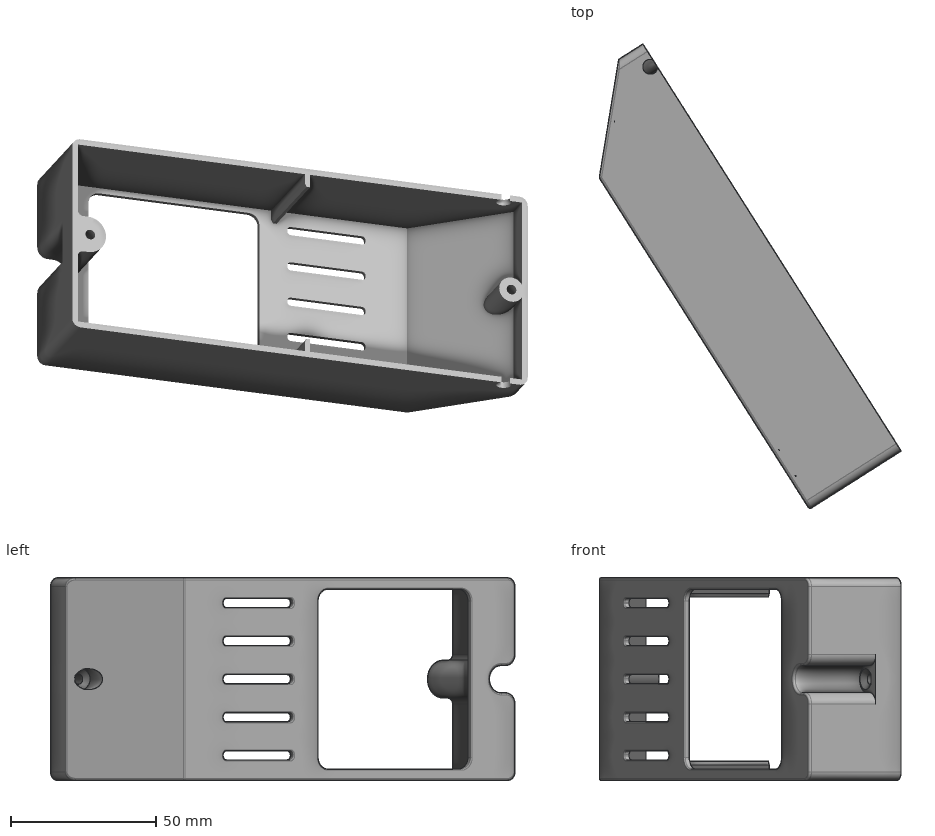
import cadquery as cq
import math

tilt = 57.6
length = 166.1
depth = 37.5
height = 70.0
wall = 2.1

slope_length = 30.9
slope_depth = 27.5

end_radius = 3.0
front_radius = 0.8
opening_rim_radius = 0.4

window_length = 62.3
window_height = 62.0
window_corner = 4.0
window_end_margin = 18.2

slot_count = 5
slot_length = 28.5
slot_width = 3.0
slot_pitch = 13.1
slot_corner = 1.3
slot_end_margin = 90.8

seat_y = depth - 10.4
head_diameter = 7.2
bore_diameter = 3.5
boss_radius = 4.5
boss_x = 6.0
cable_screw_x = length - 6.5

groove_depth = 10.4
groove_radius = 4.6
mouth_radius = 3.8
groove_wall = 2.0

rib_thickness = 2.0
rib_height = 4.6
rib_end_margin = 84.8
rib_chamfer_height = 1.3
rib_chamfer_width = 0.6

notch_radius = 2.5
notch_x = 8.0
notch_inset = 2.1


def outer_body():
    outline = [(0, slope_depth), (slope_length, 0), (length, 0), (length, depth), (0, depth)]
    body = cq.Workplane("XY").polyline(outline).close().extrude(height / 2, both=True)
    return body.edges("|Y").fillet(end_radius)


def round_front_edges(body):
    """Round the rims of the front face and of the slope."""
    slope_direction = cq.Vector(-slope_depth, -slope_length, 0)
    slope_face = body.faces(cq.selectors.ParallelDirSelector(slope_direction))
    rims = body.faces("<Y").edges().add(slope_face.edges("not |Z"))
    return rims.fillet(front_radius)


def cavity():
    """Inside of the cover: the outer outline moved inwards by the wall."""
    slope = math.atan2(slope_depth, slope_length)
    front_corner_x = slope_length + wall * math.tan(slope / 2)
    end_corner_y = slope_depth + wall * math.tan((math.pi / 2 - slope) / 2)
    outline = [
        (wall, end_corner_y),
        (front_corner_x, wall),
        (length - wall, wall),
        (length - wall, depth),
        (wall, depth),
    ]
    half_height = height / 2 - wall
    return cq.Workplane("XY").polyline(outline).close().extrude(half_height, both=True)


def front_cut(centre_x, size_x, size_z, corner):
    """Rounded rectangular opening through the front wall."""
    block = cq.Workplane("XY").box(size_x, 2 * wall, size_z)
    return block.edges("|Y").fillet(corner).translate((centre_x, wall / 2, 0))


def groove_prism(bottom_depth, radius, flare, base_depth, start_y, end_y):
    """U-shaped prism along Y, reaching in from the cable end and flared at its base."""
    base_x = length - base_depth
    flare_x = base_x - flare
    round_x = length - bottom_depth + radius
    section = (
        cq.Workplane("XZ", origin=(0, start_y, 0))
        .moveTo(base_x, radius + flare)
        .radiusArc((flare_x, radius), flare)
        .lineTo(round_x, radius)
        .threePointArc((round_x - radius, 0), (round_x, -radius))
        .lineTo(flare_x, -radius)
        .radiusArc((base_x, -radius - flare), flare)
        .close()
    )
    return section.extrude(start_y - end_y)


def cylinder(x, start_y, end_y, diameter):
    """Round bar along Y."""
    sketch = cq.Workplane("XZ", origin=(x, start_y, 0)).circle(diameter / 2)
    return sketch.extrude(start_y - end_y)


def screw_hole(x):
    """Countersink at the seat depth, with a bore through to the back."""
    sink_depth = (head_diameter - bore_diameter) / 2
    sink = (
        cq.Workplane("XZ", origin=(x, seat_y, 0))
        .circle(head_diameter / 2)
        .workplane(offset=-sink_depth)
        .circle(bore_diameter / 2)
        .loft()
    )
    return sink.union(cylinder(x, seat_y, depth, bore_diameter))


def ribs():
    rib_x = length - rib_end_margin - rib_thickness / 2
    rib_z = height / 2 - wall - rib_height / 2
    rib = cq.Workplane("XY").box(rib_thickness, depth - wall, rib_height)
    rib = rib.faces(">Z").edges(">X").chamfer(rib_chamfer_height, rib_chamfer_width)
    lower_rib = rib.translate((rib_x, (depth + wall) / 2, -rib_z))
    return lower_rib.union(lower_rib.mirror("XY"))


groove = groove_prism(groove_depth, groove_radius, mouth_radius, 0, 0, seat_y)
outer = outer_body()
cover = round_front_edges(outer.cut(groove)).cut(cavity())

boss = cylinder(boss_x, wall, depth, 2 * boss_radius).intersect(outer)
trough = groove_prism(
    groove_depth + groove_wall, groove_radius + groove_wall, mouth_radius - groove_wall, wall, wall, depth
)
cover = cover.union(ribs()).union(boss).union(trough.cut(groove))

window_x = length - window_end_margin - window_length / 2
cover = cover.cut(front_cut(window_x, window_length, window_height, window_corner))
slot_x = length - slot_end_margin - slot_length / 2
slot = front_cut(slot_x, slot_length, slot_width, slot_corner)
for index in range(slot_count):
    slot_z = (index - (slot_count - 1) / 2) * slot_pitch
    cover = cover.cut(slot.translate((0, 0, slot_z)))
opening_zone = cq.selectors.BoxSelector(
    (slope_length + wall, -wall, wall - height / 2),
    (length - window_end_margin + wall, wall, height / 2 - wall),
)
cover = cover.faces("<Y").edges(opening_zone).fillet(opening_rim_radius)

cover = cover.cut(cylinder(boss_x, 0, seat_y, head_diameter))
for screw_x in (boss_x, cable_screw_x):
    cover = cover.cut(screw_hole(screw_x))

notch_y = depth - notch_inset
side_notch = cq.Workplane("XY").circle(notch_radius).extrude(2 * wall, both=True)
for side in (-1, 1):
    cover = cover.cut(side_notch.translate((notch_x, notch_y, side * height / 2)))

result = cover.rotate((0, 0, 0), (0, 0, 1), -tilt)